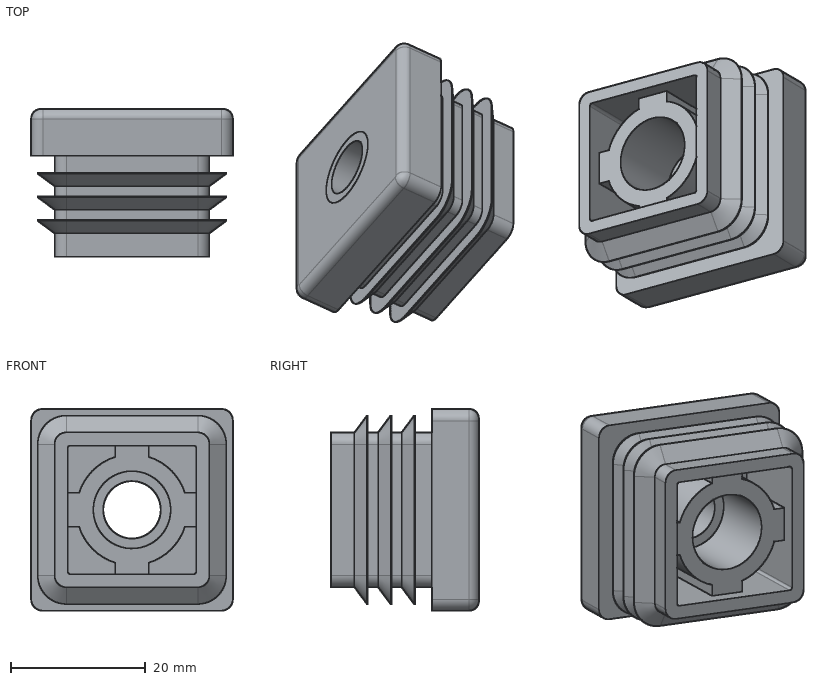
import cadquery as cq
import math


cap_width = 30.0
cap_thickness = 7.0
cap_edge_radius = 1.5
corner_radius = 1.75

plug_width = 23.0
plug_length = 15.0
total_length = plug_length + cap_thickness

pocket_width = 19.1
pocket_corner_radius = 0.4
pocket_depth = plug_length

boss_recess = 2.5
boss_diameter = 16.5
boss_length = pocket_depth - boss_recess
rib_width = 5.0
bore_diameter = 11.5

fin_width = 28.0
fin_count = 3
fin_pitch = 3.5
first_fin_start = 3.5
fin_length = 2.0
fin_tip_thickness = 0.15
fin_height = (fin_width - plug_width) / 2
fin_corner_radius = corner_radius + fin_height
fin_flare_length = fin_length - fin_tip_thickness
fin_flare_angle = math.degrees(math.atan2(fin_height, fin_flare_length))

insert_length = cap_thickness
insert_hole_diameter = 8.5


def plane_at(y):
    """Workplane across the axis at height y, with its normal along +Y."""
    return cq.Workplane(cq.Plane(origin=(0, y, 0), xDir=(1, 0, 0), normal=(0, 1, 0)))


def rounded_block(width, radius, start, length):
    """Square block with rounded corners, running from start along +Y."""
    return plane_at(start).rect(width, width).extrude(length).edges("|Y").fillet(radius)


def make_cap():
    cap = rounded_block(cap_width, corner_radius, plug_length, cap_thickness)
    return cap.faces(">Y").edges().fillet(cap_edge_radius)


def make_fin(start):
    """Fin that flares outward from the plug and ends in a thin flat tip."""
    outline = cq.Sketch().rect(plug_width, plug_width).vertices().fillet(corner_radius)
    flare = plane_at(start).placeSketch(outline).extrude(fin_flare_length, taper=-fin_flare_angle)
    tip = rounded_block(fin_width, fin_corner_radius, start + fin_flare_length, fin_tip_thickness)
    return flare.union(tip)


def make_boss():
    """Round boss and its crossed ribs, standing on the pocket floor."""
    boss = plane_at(boss_recess).circle(boss_diameter / 2).extrude(boss_length)
    for rib_size in [(pocket_width, rib_width), (rib_width, pocket_width)]:
        boss = boss.union(plane_at(boss_recess).rect(*rib_size).extrude(boss_length))
    return boss


def make_housing():
    housing = rounded_block(plug_width, corner_radius, 0, plug_length).union(make_cap())
    for index in range(fin_count):
        housing = housing.union(make_fin(first_fin_start + index * fin_pitch))
    housing = housing.cut(rounded_block(pocket_width, pocket_corner_radius, 0, pocket_depth))
    housing = housing.union(make_boss())
    bore = plane_at(0).circle(bore_diameter / 2).extrude(total_length)
    return housing.cut(bore)


def make_insert():
    """Ring that fills the bore and ends flush with the cap's outer face."""
    start = total_length - insert_length
    return plane_at(start).circle(bore_diameter / 2).circle(insert_hole_diameter / 2).extrude(insert_length)


housing = make_housing()
insert = make_insert()

result = cq.Compound.makeCompound([housing.solids().val(), insert.val()])